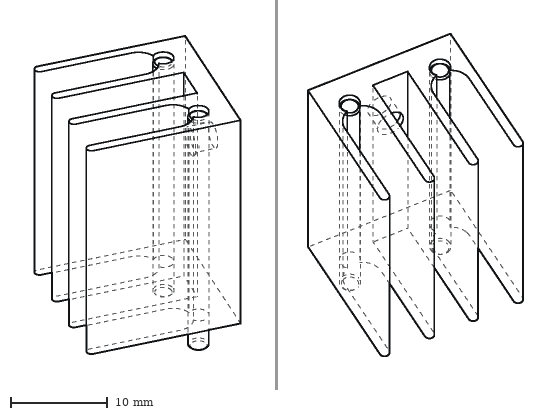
import cadquery as cq
total_height = 29.2
block_width = 16.6
block_depth = 16.77
pin_projection = 3.83
block_height = total_height - pin_projection

fin_thickness = 1.05
tip_rise = fin_thickness / 2
center_slot_width = 4.03
back_wall = 2.48
channel_floor = 4.2
side_channel_width = (block_width - center_slot_width - 4 * fin_thickness) / 2
side_channel_x = center_slot_width / 2 + fin_thickness + side_channel_width / 2

hole_diameter = 2.77
hole_z = total_height - 7.1
flare_depth = 0.45
flare_width = 3.05
flare_height = 3.15
flare_z = hole_z - (flare_height - hole_diameter) / 2

pin_diameter = 2.2
pin_chamfer = 0.2
pin_recess = 0.5
pin_x = 5.25
pin_y = -3.53
pin_length = total_height - pin_recess


def center_slot():
    """Full-height square-cornered slot that is open toward -Y."""
    slot_depth = block_depth - back_wall
    return (
        cq.Workplane("XY")
        .box(center_slot_width, slot_depth, block_height, centered=(True, False, False))
        .translate((0, -block_depth, pin_projection))
    )


def side_channel(center_x):
    """Full-height channel that is open toward -Y and has a half-round inner end."""
    radius = side_channel_width / 2
    arc_center_y = -channel_floor - radius
    return (
        cq.Workplane("XY", origin=(center_x, 0, pin_projection))
        .moveTo(-radius, -block_depth)
        .lineTo(-radius, arc_center_y)
        .threePointArc((0, -channel_floor), (radius, arc_center_y))
        .lineTo(radius, -block_depth)
        .close()
        .extrude(block_height)
    )


def fin_tip_waste(x):
    """Material outside the arc that rounds the tip of the fin centred at x."""
    half = fin_thickness / 2
    envelope = (
        cq.Workplane("XY")
        .box(fin_thickness, tip_rise, block_height, centered=(True, False, False))
        .translate((x, -block_depth, pin_projection))
    )
    tip = (
        cq.Workplane("XY", origin=(x, tip_rise - block_depth, pin_projection))
        .moveTo(-half, 0)
        .threePointArc((0, -tip_rise), (half, 0))
        .close()
        .extrude(block_height)
    )
    return envelope.cut(tip)


def mounting_hole():
    """Straight bore opening into a flare, level with it along the top edge."""
    bore = cq.Workplane("XZ").center(0, hole_z).circle(hole_diameter / 2).extrude(back_wall)
    flare = (
        cq.Workplane("XZ", origin=(0, flare_depth - back_wall, hole_z))
        .circle(hole_diameter / 2)
        .workplane(offset=flare_depth)
        .center(0, flare_z - hole_z)
        .ellipse(flare_width / 2, flare_height / 2)
        .loft(ruled=True, combine=True)
    )
    return bore.union(flare)


def pin_bore(x):
    return (
        cq.Workplane("XY", origin=(x, pin_y, pin_projection))
        .circle(pin_diameter / 2)
        .extrude(block_height)
    )


def make_heatsink():
    block = (
        cq.Workplane("XY")
        .box(block_width, block_depth, block_height, centered=(True, False, False))
        .translate((0, -block_depth, pin_projection))
    )
    block = block.cut(center_slot())
    for side in (-1, 1):
        block = block.cut(side_channel(side * side_channel_x))

    outer_fin_x = (block_width - fin_thickness) / 2
    inner_fin_x = (center_slot_width + fin_thickness) / 2
    for x in (-outer_fin_x, -inner_fin_x, inner_fin_x, outer_fin_x):
        block = block.cut(fin_tip_waste(x))

    block = block.cut(mounting_hole())
    for side in (-1, 1):
        block = block.cut(pin_bore(side * pin_x))
    return block


def make_pin(x):
    return (
        cq.Workplane("XY", origin=(x, pin_y, 0))
        .circle(pin_diameter / 2)
        .extrude(pin_length)
        .faces("<Z or >Z")
        .chamfer(pin_chamfer)
    )


heatsink = make_heatsink()
pins = []
for side in (-1, 1):
    pins.append(make_pin(side * pin_x).val())

result = cq.Compound.makeCompound([heatsink.val(), *pins])